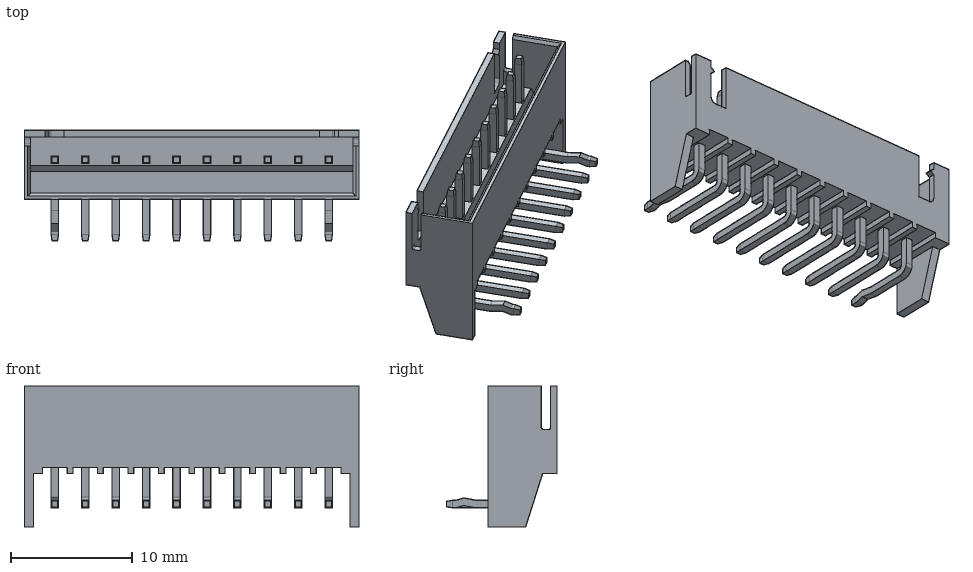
import cadquery as cq


body_length = 27.5
body_depth = 5.7
wall = 0.52
back_wall = 0.55
skirt_height = 7.2
rim_chamfer = 0.25

high_floor = 4.8
low_floor = 5.78
slope_start = 2.9
slope_end = 3.4

tab_width = 1.68
back_slot_width = 1.6
back_slot_depth = 3.95
back_slot_fillet = 0.5
side_slot_width = 0.75
side_slot_depth = 3.58
side_slot_fillet = 0.16
bump_reach = 0.35
bump_height = 0.55
bump_center = 0.9

leg_width = 0.77
leg_bottom = 11.6
leg_top_setback = 1.18
leg_foot_setback = 2.58

pin_count = 10
pitch = 2.5
pin_size = 0.63
pin_setback = 2.45
pin_top = 0.47
tail_drop = 9.7
total_depth = 9.1
bend_radius = 0.28
tip_length = 0.52
tip_chamfer = 0.08
kink_start = 0.9
kink_peak = 1.98
kink_end = 2.65
kink_height = 0.2

notch_width = 2.0
notch_height = 0.5

pin_places = [(i - (pin_count - 1) / 2) * pitch for i in range(pin_count)]


def block(x_range, y_range, z_range):
    """Box between pairs of limits."""
    size = [limits[1] - limits[0] for limits in (x_range, y_range, z_range)]
    return cq.Workplane("XY").box(*size, centered=False).translate((x_range[0], y_range[0], z_range[0]))


def extrude_along_x(points, x_start, x_end):
    """Prism along X from a (Y, Z) outline."""
    return cq.Workplane("YZ").polyline(points).close().extrude(x_end - x_start).translate((x_start, 0, 0))


def both_ends(shape):
    """The shape together with its mirror image at the other end of the housing."""
    return shape.union(shape.mirror("YZ"))


def make_cavity():
    half_cavity = body_length / 2 - wall
    front = wall - body_depth
    outline = [
        (-back_wall, 0),
        (-back_wall, -high_floor),
        (-slope_start, -high_floor),
        (-slope_end, -low_floor),
        (front, -low_floor),
        (front, 0),
    ]
    return extrude_along_x(outline, -half_cavity, half_cavity)


def make_rim_chamfer():
    """Flared mouth that bevels the front and side walls; the back wall stays square."""
    length = body_length - 2 * wall
    depth = body_depth - wall
    mouth = (
        cq.Workplane("XY")
        .rect(length + 2 * rim_chamfer, 2 * (depth + rim_chamfer))
        .workplane(offset=-rim_chamfer)
        .rect(length, 2 * depth)
        .loft(ruled=True)
    )
    return mouth.intersect(block((-body_length, body_length), (-body_depth, -back_wall), (-rim_chamfer, 0)))


def make_side_slot():
    x_range = (-body_length / 2, wall - body_length / 2)
    slot = block(x_range, (-back_wall - side_slot_width, -back_wall), (-side_slot_depth, 0))
    return slot.edges("|X and <Z").fillet(side_slot_fillet)


def make_back_slot():
    start = tab_width - body_length / 2
    slot = block((start, start + back_slot_width), (-back_wall, 0), (-back_slot_depth, 0))
    return slot.edges("|Y and <Z and <X").fillet(back_slot_fillet)


def make_bump():
    """Triangular catch on the inner edge of a tab."""
    edge = tab_width - body_length / 2
    outline = [
        (edge, -bump_center + bump_height / 2),
        (edge + bump_reach, -bump_center),
        (edge, -bump_center - bump_height / 2),
    ]
    return cq.Workplane("XZ").polyline(outline).close().extrude(back_wall)


def make_leg():
    """Leg with a sloping back edge."""
    side = [
        (-body_depth, -skirt_height),
        (-leg_top_setback, -skirt_height),
        (-leg_foot_setback, -leg_bottom),
        (-body_depth, -leg_bottom),
    ]
    outer = -body_length / 2
    return extrude_along_x(side, outer, outer + leg_width)


def make_notch(x):
    x_range = (x - notch_width / 2, x + notch_width / 2)
    return block(x_range, (-body_depth, 0), (-skirt_height, notch_height - skirt_height))


def make_tip(plane, origin):
    """Blunt pyramid at the end of a pin."""
    end_size = pin_size - 2 * tip_chamfer
    return (
        cq.Workplane(plane, origin=origin)
        .rect(pin_size, pin_size)
        .workplane(offset=tip_length)
        .rect(end_size, end_size)
        .loft(ruled=True)
    )


def make_pin(kinked):
    half = pin_size / 2
    back = half - pin_setback
    front = -half - pin_setback
    top = -pin_top - tip_length
    tail_top = half - tail_drop
    tail_bottom = -half - tail_drop
    tail_end = tip_length - total_depth

    upright = block((-half, half), (front, back), (tail_bottom, top))
    tail = block((-half, half), (tail_end, back), (tail_bottom, tail_top))
    if kinked:
        kink_y = [-body_depth - distance for distance in (kink_start, kink_peak, kink_end)]
        rise = [
            (kink_y[0], tail_top),
            (kink_y[1], tail_top + kink_height),
            (kink_y[2], tail_top),
        ]
        hollow = [(y, z - pin_size) for y, z in rise]
        tail = tail.union(extrude_along_x(rise, -half, half)).cut(extrude_along_x(hollow, -half, half))

    inner_corner = block((-half, half), (front - bend_radius, front), (tail_top, tail_top + bend_radius))
    bend_axis = cq.Workplane("YZ").center(front - bend_radius, tail_top + bend_radius)
    inside_cut = bend_axis.circle(bend_radius).extrude(half, both=True)

    pin = upright.union(tail).edges("|X and >Y and <Z").fillet(bend_radius + pin_size)
    pin = pin.union(inner_corner.cut(inside_cut))
    pin = pin.union(make_tip("XY", (0, -pin_setback, top)))
    return pin.union(make_tip("XZ", (0, tail_end, -tail_drop)))


def make_housing():
    body = block((-body_length / 2, body_length / 2), (-body_depth, 0), (-skirt_height, 0))
    body = body.cut(make_cavity()).cut(make_rim_chamfer())
    body = body.cut(both_ends(make_side_slot())).cut(both_ends(make_back_slot()))
    for x in pin_places:
        body = body.cut(make_notch(x))
    return body.union(both_ends(make_bump())).union(both_ends(make_leg())).clean()


result = make_housing()
straight_pin = make_pin(kinked=False)
kinked_pin = make_pin(kinked=True)
for place in pin_places:
    is_end_pin = place in (pin_places[0], pin_places[-1])
    pin = kinked_pin if is_end_pin else straight_pin
    result = result.union(pin.translate((place, 0, 0)))